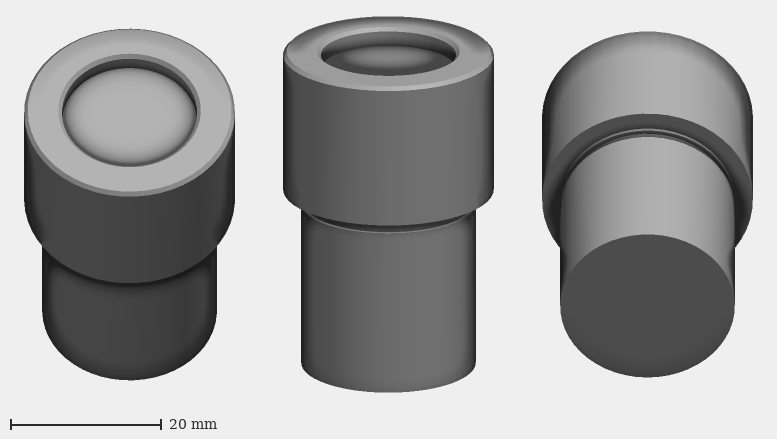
import cadquery as cq

total_height = 44.0
head_diameter = 28.0
head_height = 19.5
edge_chamfer = 0.5

shank_diameter = 23.2

groove_diameter = 22.18
groove_width = 1.5
collar_height = 0.5

recess_diameter = 17.95
recess_depth = 2.5

head_radius = head_diameter / 2
shank_radius = shank_diameter / 2
groove_radius = groove_diameter / 2
recess_radius = recess_diameter / 2
head_bottom = total_height - head_height
collar_bottom = head_bottom - collar_height
groove_bottom = collar_bottom - groove_width
recess_floor = total_height - recess_depth
chamfer_bottom = total_height - edge_chamfer

half_section = [
    (0, 0),
    (shank_radius, 0),
    (shank_radius, groove_bottom),
    (groove_radius, groove_bottom),
    (groove_radius, collar_bottom),
    (shank_radius, collar_bottom),
    (shank_radius, head_bottom),
    (head_radius, head_bottom),
    (head_radius, chamfer_bottom),
    (head_radius - edge_chamfer, total_height),
    (recess_radius + edge_chamfer, total_height),
    (recess_radius, chamfer_bottom),
    (recess_radius, recess_floor),
    (0, recess_floor),
]

section_points = [(-radius, height) for radius, height in half_section]
result = cq.Workplane("YZ").polyline(section_points).close().revolve(360, (0, 0), (0, 1))